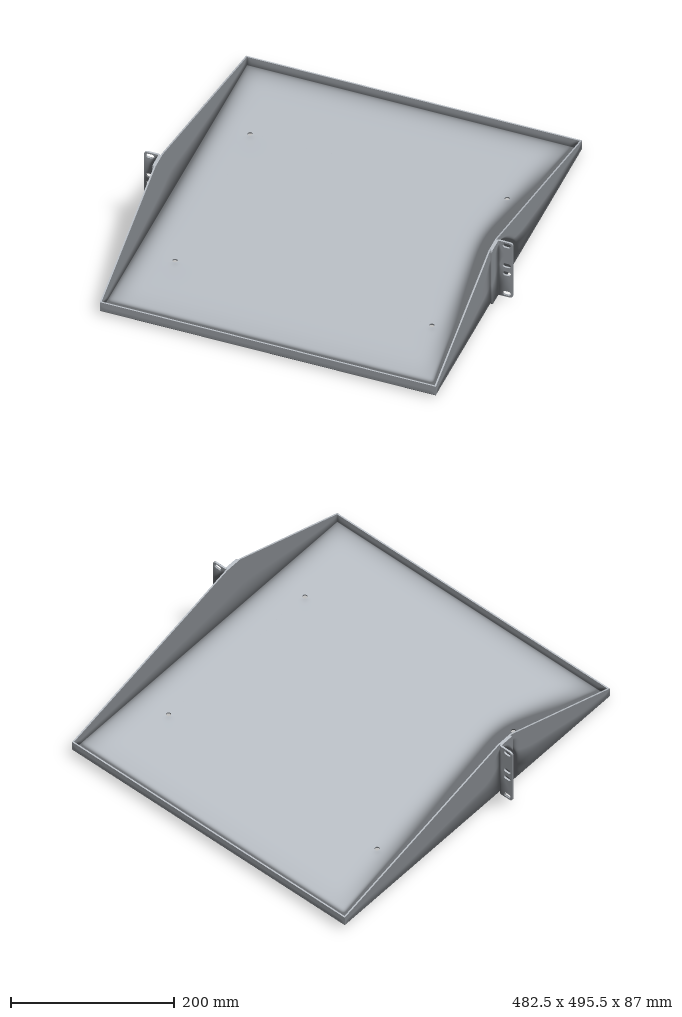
import cadquery as cq

DEPTH = 495.5
HEIGHT = 87.0
RACK_WIDTH = 482.5
TRAY_WIDTH = 440.0

TRAY_SHEET = 2.0
TRAY_BEND = 2.5
BRACKET_SHEET = 2.5
BRACKET_BEND = 3.5

RIM_HEIGHT = 15.5
FLOOR_HOLE = 6.5
FLOOR_HOLE_SPAN_X = 336.5
FLOOR_HOLE_SPAN_Y = 254.5

BRACKET_REAR_Y = -40.0
BRACKET_LEG = 24.0
FLANGE_CORNER = 4.0
LEG_CORNER = 4.0
SLOT_LENGTH = 11.0
SLOT_HEIGHT = 6.5
SLOT_X = 233.5
SLOT_OFFSETS = (6.5, 38.0)

BRACKET_FRONT_Y = BRACKET_REAR_Y - BRACKET_LEG


def rounded_box(width, depth, bend):
    """Block from the floor up, its bottom edges rounded like the tray's bends."""
    return (
        cq.Workplane("XY")
        .box(width, depth, HEIGHT, centered=(True, True, False))
        .faces("<Z")
        .edges()
        .fillet(bend)
    )


def side_profile():
    """Tray outline in the YZ plane: low at both ends and highest beside the brackets."""
    half_depth = DEPTH / 2
    return (
        cq.Workplane("YZ")
        .polyline([
            (-half_depth, 0),
            (half_depth, 0),
            (half_depth, RIM_HEIGHT),
            (BRACKET_REAR_Y, HEIGHT),
            (BRACKET_FRONT_Y, HEIGHT),
            (-half_depth, RIM_HEIGHT),
        ])
        .close()
        .extrude(TRAY_WIDTH / 2, both=True)
    )


def make_tray():
    """Folded tray with sloped side walls, low front and rear walls and four floor holes."""
    inner_width = TRAY_WIDTH - 2 * TRAY_SHEET
    inner_depth = DEPTH - 2 * TRAY_SHEET
    outside = rounded_box(TRAY_WIDTH, DEPTH, TRAY_BEND)
    inside = rounded_box(inner_width, inner_depth, TRAY_BEND - TRAY_SHEET).translate((0, 0, TRAY_SHEET))
    end_wall_trim = (
        cq.Workplane("XY")
        .box(inner_width, DEPTH, HEIGHT, centered=(True, True, False))
        .translate((0, 0, RIM_HEIGHT))
    )
    floor_holes = (
        cq.Workplane("XY")
        .rect(FLOOR_HOLE_SPAN_X, FLOOR_HOLE_SPAN_Y, forConstruction=True)
        .vertices()
        .circle(FLOOR_HOLE / 2)
        .extrude(HEIGHT)
    )
    return outside.cut(inside).intersect(side_profile()).cut(end_wall_trim).cut(floor_holes)


def make_bracket(side):
    """L-shaped rack bracket on the right (side = 1) or the left (side = -1) tray wall."""
    wall_x = TRAY_WIDTH / 2
    tip_x = RACK_WIDTH / 2
    leg_x = wall_x + BRACKET_SHEET
    flange_front_y = BRACKET_REAR_Y - BRACKET_SHEET

    bracket = (
        cq.Workplane("XY")
        .polyline([
            (wall_x, BRACKET_FRONT_Y),
            (leg_x, BRACKET_FRONT_Y),
            (leg_x, flange_front_y),
            (tip_x, flange_front_y),
            (tip_x, BRACKET_REAR_Y),
            (wall_x, BRACKET_REAR_Y),
        ])
        .close()
        .extrude(HEIGHT)
    )
    outer_bend_edge = cq.selectors.NearestToPointSelector((wall_x, BRACKET_REAR_Y, HEIGHT / 2))
    inner_bend_edge = cq.selectors.NearestToPointSelector((leg_x, flange_front_y, HEIGHT / 2))
    bracket = bracket.edges(outer_bend_edge).fillet(BRACKET_BEND)
    bracket = bracket.edges(inner_bend_edge).fillet(BRACKET_BEND - BRACKET_SHEET)
    bracket = bracket.faces(">X").edges("|Y").fillet(FLANGE_CORNER)
    bracket = bracket.faces("<Y").edges("|X").fillet(LEG_CORNER)

    slot_centres = [
        (SLOT_X, HEIGHT / 2 + direction * offset)
        for offset in SLOT_OFFSETS
        for direction in (-1, 1)
    ]
    slots = (
        cq.Workplane("XZ", origin=(0, BRACKET_REAR_Y, 0))
        .pushPoints(slot_centres)
        .slot2D(SLOT_LENGTH, SLOT_HEIGHT)
        .extrude(BRACKET_SHEET)
    )
    bracket = bracket.cut(slots)
    return bracket if side > 0 else bracket.mirror("YZ")


tray = make_tray()
brackets = [make_bracket(side) for side in (-1, 1)]

result = cq.Compound.makeCompound([tray.val(), *[bracket.val() for bracket in brackets]])